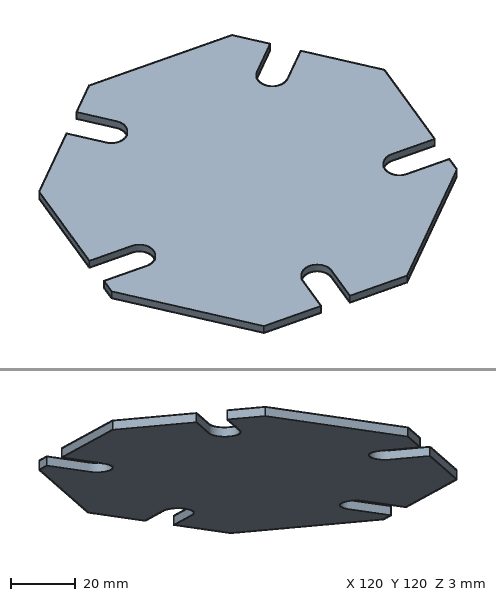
import cadquery as cq
import math

across_flats = 120.0
thickness = 3.0

slot_width = 10.0
end_slot_depth = 17.5
side_slot_depth = 19.8
side_slot_shift = 14.6
diagonal_slot_depth = 18.0
diagonal_slot_shift = 7.5

apothem = across_flats / 2
half_sector = 360 / 8 / 2
half_side = apothem * math.tan(math.radians(half_sector))


def make_plate():
    """Octagon with flats facing the X and Y axes, centred on the origin."""
    corner_to_corner = 2 * math.hypot(apothem, half_side)
    return (
        cq.Workplane("XY")
        .polygon(8, corner_to_corner)
        .extrude(thickness)
        .rotate((0, 0, 0), (0, 0, 1), half_sector)
    )


def make_slot(flat_angle, depth, shift=0.0):
    """Slot cutting inward from the flat at flat_angle degrees.

    A positive shift moves it counter-clockwise along the flat.
    """
    radius = slot_width / 2
    overrun = radius
    round_center = apothem - depth + radius
    mouth = apothem + overrun
    return (
        cq.Workplane("XY")
        .moveTo(mouth, shift - radius)
        .lineTo(round_center, shift - radius)
        .threePointArc((apothem - depth, shift), (round_center, shift + radius))
        .lineTo(mouth, shift + radius)
        .close()
        .extrude(thickness)
        .rotate((0, 0, 0), (0, 0, 1), flat_angle)
    )


result = make_plate().cut(make_slot(0, end_slot_depth))

for side in (1, -1):
    result = result.cut(make_slot(side * 90, side_slot_depth, -side * side_slot_shift))
    result = result.cut(make_slot(side * 135, diagonal_slot_depth, side * diagonal_slot_shift))